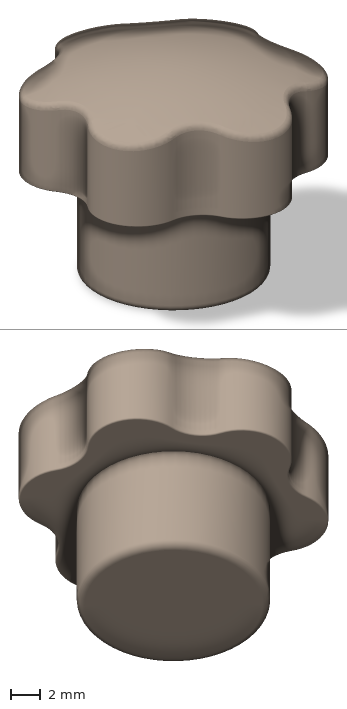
import cadquery as cq
import math

head_radius = 10.5
total_height = 16.0
stem_height = 8.0
stem_diameter = 13.0
stem_fillet = 0.5

lobe_count = 6
lobe_radius = 3.35
valley_radius = 2.81

dome_radius = 28.0
top_edge_fillet = 0.5
bottom_edge_fillet = 0.1

half_pitch = math.pi / lobe_count
lobe_center = head_radius - lobe_radius
lobe_half_gap = lobe_center * math.sin(half_pitch)
center_distance = lobe_radius + valley_radius
valley_center = lobe_center * math.cos(half_pitch) + math.sqrt(center_distance**2 - lobe_half_gap**2)


def polar(radius, angle):
    return (radius * math.cos(angle), radius * math.sin(angle))


def tangent_point(lobe_angle, side):
    """Point where a lobe meets the valley on its left (side=1) or right (side=-1)."""
    lobe_x, lobe_y = polar(lobe_center, lobe_angle)
    valley_x, valley_y = polar(valley_center, lobe_angle + side * half_pitch)
    fraction = lobe_radius / center_distance
    return (lobe_x + fraction * (valley_x - lobe_x), lobe_y + fraction * (valley_y - lobe_y))


def make_grip_outline():
    outline = cq.Workplane("XY", origin=(0, 0, stem_height)).moveTo(*tangent_point(0, -1))
    for index in range(lobe_count):
        angle = 2 * half_pitch * index
        next_angle = angle + 2 * half_pitch
        valley_bottom = polar(valley_center - valley_radius, angle + half_pitch)
        outline = outline.threePointArc(polar(head_radius, angle), tangent_point(angle, 1))
        outline = outline.threePointArc(valley_bottom, tangent_point(next_angle, -1))
    return outline.close()


def make_head():
    """Lobed prism cut by a spherical dome, with rounded rims."""
    prism = make_grip_outline().extrude(total_height - stem_height)
    dome = cq.Workplane("XY", origin=(0, 0, total_height - dome_radius)).sphere(dome_radius)
    head = prism.intersect(dome)
    head = head.faces("%SPHERE").edges().fillet(top_edge_fillet)
    return head.faces("<Z").edges().fillet(bottom_edge_fillet)


def make_stem():
    stem = cq.Workplane("XY").circle(stem_diameter / 2).extrude(stem_height)
    return stem.faces("<Z").edges().fillet(stem_fillet)


result = make_head().union(make_stem())